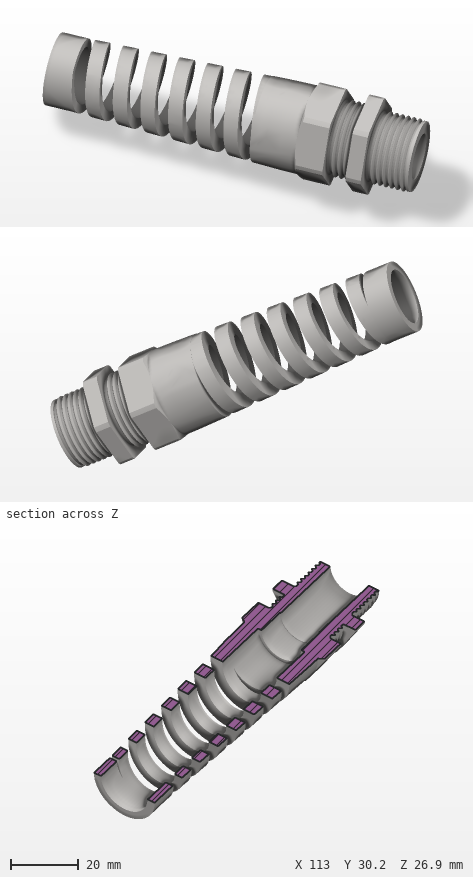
import cadquery as cq
import math


tube_end = 8.0
sleeve_start = 64.8
hex_start = 78.7
hex_end = 87.9
locknut_start = 95.1
locknut_end = 99.8
total_length = 113.0

tube_radius = 11.1
coil_end_radius = 13.0
sleeve_start_radius = 13.1
sleeve_mid_radius = 13.3

across_flats = 26.9
flat_radius = across_flats / 2
across_corners = 30.2
corner_radius = across_corners / 2
cap_bevel_length = 1.0

slot_length = 62.7
slot_turns = 7.25
slot_pitch = slot_length / slot_turns
slot_width = 4.2
slot_start = 4.9
slot_inner_radius = 7.3
slot_outer_radius = 14.7
slot_limit_radius = 15.8

thread_pitch = 1.8
crest_width = 1.2
body_root_radius = 10.7
body_crest_radius = 11.8
body_half_ring_radius = 11.4
body_first_crest = 89.9
body_crest_count = 3
end_root_radius = 10.2
end_crest_radius = 11.1
end_half_ring_radius = 10.7
end_first_crest = 101.7
end_crest_count = 6
end_rim_radius = 10.7
end_rim_length = 0.9

cable_bore_radius = 8.5
seal_bore_radius = 7.2
through_bore_radius = 7.0


def cylinder(start, end, radius):
    return cq.Workplane("YZ", origin=(start, 0, 0)).circle(radius).extrude(end - start)


def revolve_about_x(profile):
    return profile.close().revolve(360, (0, 0, 0), (1, 0, 0))


def make_spiral_section():
    profile = (
        cq.Workplane("XY")
        .lineTo(0, tube_radius)
        .lineTo(tube_end, tube_radius)
        .lineTo(sleeve_start, coil_end_radius)
        .lineTo(sleeve_start, 0)
    )
    return revolve_about_x(profile)


def make_sleeve():
    middle = (sleeve_start + hex_start) / 2
    profile = (
        cq.Workplane("XY")
        .moveTo(sleeve_start, 0)
        .lineTo(sleeve_start, sleeve_start_radius)
        .threePointArc((middle, sleeve_mid_radius), (hex_start, flat_radius))
        .lineTo(hex_start, 0)
    )
    return revolve_about_x(profile)


def make_hexagon(start, end):
    """Hexagonal prism with flats facing +Z and -Z and turned-down corners."""
    corner_distance = flat_radius / math.cos(math.pi / 6)
    prism = cq.Workplane("YZ", origin=(start, 0, 0)).polygon(6, 2 * corner_distance).extrude(end - start)
    return prism.intersect(cylinder(start, end, corner_radius))


def make_cap_hexagon():
    """Hexagon whose corners are bevelled towards the sleeve."""
    profile = (
        cq.Workplane("XY")
        .moveTo(hex_start, 0)
        .lineTo(hex_start, flat_radius)
        .lineTo(hex_start + cap_bevel_length, corner_radius)
        .lineTo(hex_end, corner_radius)
        .lineTo(hex_end, 0)
    )
    return make_hexagon(hex_start, hex_end).intersect(revolve_about_x(profile))


def make_thread(start, end, root_radius, crest_radius, half_ring_radius, first_crest, crest_count):
    """Threaded rod with one pointed ring for each crest, after a half ring at its start."""
    profile = (
        cq.Workplane("XY")
        .moveTo(start, 0)
        .lineTo(start, half_ring_radius)
        .lineTo(start + crest_width / 2, root_radius)
    )
    for index in range(crest_count):
        crest = first_crest + index * thread_pitch
        profile = (
            profile.lineTo(crest - crest_width / 2, root_radius)
            .lineTo(crest, crest_radius)
            .lineTo(crest + crest_width / 2, root_radius)
        )
    return revolve_about_x(profile.lineTo(end, root_radius).lineTo(end, 0))


def make_helical_slot():
    """Right-handed slot, starting on the -Z side and limited to the coil."""
    middle_radius = (slot_inner_radius + slot_outer_radius) / 2
    path = cq.Wire.makeHelix(slot_pitch, slot_length, middle_radius)
    slot = (
        cq.Workplane("XZ")
        .center(middle_radius, 0)
        .rect(slot_outer_radius - slot_inner_radius, slot_width)
        .sweep(cq.Workplane(path), isFrenet=True)
        .rotate((0, 0, 0), (0, 1, 0), 90)
        .translate((slot_start, 0, 0))
    )
    return slot.intersect(cylinder(tube_end, sleeve_start, slot_limit_radius))


body_thread = make_thread(
    hex_end,
    locknut_start,
    body_root_radius,
    body_crest_radius,
    body_half_ring_radius,
    body_first_crest,
    body_crest_count,
)
end_thread = make_thread(
    locknut_end,
    total_length,
    end_root_radius,
    end_crest_radius,
    end_half_ring_radius,
    end_first_crest,
    end_crest_count,
)
end_rim = cylinder(total_length - end_rim_length, total_length, end_rim_radius)

bores = (
    cylinder(0, hex_start, cable_bore_radius)
    .union(cylinder(hex_start, hex_end, seal_bore_radius))
    .union(cylinder(hex_end, total_length, through_bore_radius))
)

result = (
    make_spiral_section()
    .cut(make_helical_slot())
    .union(make_sleeve())
    .union(make_cap_hexagon())
    .union(body_thread)
    .union(make_hexagon(locknut_start, locknut_end))
    .union(end_thread)
    .union(end_rim)
    .cut(bores)
)